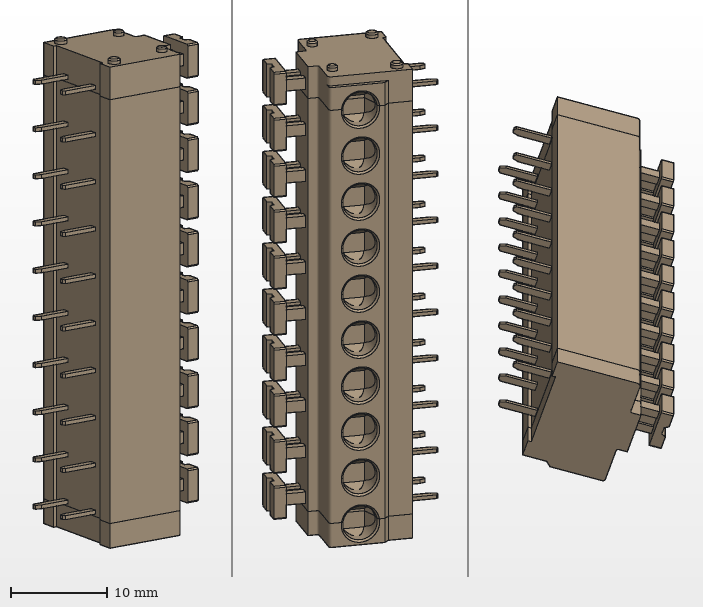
import cadquery as cq
import math


overall_height = 52.3
overall_depth = 17.5

terminal_count = 10
ledge_height = 50.8
pitch = ledge_height / terminal_count

housing_height = 51.8
housing_left = 0.5
housing_right = 12.5
housing_middle = (housing_left + housing_right) / 2
foot_bottom = 3.65
foot_width = 1.85
recess_depth = 0.35
floor_y = foot_bottom + recess_depth
shoulder_y = 12.75
shoulder_radius = 0.4
collar_width = 4.7
collar_y = 13.9
collar_radius = 0.2

ledge_bottom = 6.3
ledge_slope = 0.5
ledge_radius = 0.3

lower_joint_z = 2.65
upper_joint_z = 48.25

entry_y = 9.4
entry_first_z = 2.35
entry_diameter = 3.7
entry_chamfer = 0.2
entry_depth = 2.8
funnel_end_width = 2.4
funnel_end_up = 0.6
funnel_end_down = 1.45
funnel_side_angle = 20
funnel_roof_angle = 35
funnel_floor_angle = 15

button_first_z = 3.85
head_width = 4.45
head_height = 3.65
head_thickness = 1.3
head_chamfer = 0.15
slot_depth = 0.45
slot_floor_width = 0.8
slot_mouth_width = 1.3
stem_width = 2.8
stem_height = 1.25
stem_web_width = 1.1
stem_web_height = 0.65
stem_length = overall_depth - head_thickness - collar_y

pin_first_z = 3.15
pin_spacing = 4.9
pin_width = 0.8
pin_thickness = 0.4
tip_outer_chamfer = 0.2
tip_inner_width = 0.2
tip_inner_length = 0.65

peg_height = overall_height - housing_height
peg_chamfer = 0.15
large_peg_diameter = 1.3
large_peg_spacing = 9.6
large_peg_y = 5.0
small_peg_diameter = 1.1
small_peg_spacing = 7.8
small_peg_y = 11.7


def column(x0, x1, y0, y1):
    """Rectangular column over the full housing height."""
    return (
        cq.Workplane("XY")
        .center((x0 + x1) / 2, (y0 + y1) / 2)
        .rect(x1 - x0, y1 - y0)
        .extrude(housing_height)
    )


def entry_ledge():
    """Ledge with a sloped lower edge; its root fills the rounded housing corner."""
    root_x = housing_left + shoulder_radius
    return (
        cq.Workplane("XY")
        .moveTo(root_x, shoulder_y)
        .lineTo(0, shoulder_y)
        .lineTo(0, ledge_bottom + ledge_slope)
        .lineTo(housing_left, ledge_bottom)
        .lineTo(root_x, ledge_bottom)
        .close()
        .extrude(ledge_height)
        .edges("|Z and <X and >Y")
        .fillet(ledge_radius)
    )


def housing_shell():
    """Main block with two feet, a collar for the buttons and the entry ledge."""
    block = column(housing_left, housing_right, foot_bottom, shoulder_y)
    block = block.edges("|Z and >Y").fillet(shoulder_radius)
    recess = column(housing_left + foot_width, housing_right - foot_width, foot_bottom, floor_y)
    collar_left = housing_middle - collar_width / 2
    collar_right = housing_middle + collar_width / 2
    collar = column(collar_left, collar_right, floor_y, collar_y)
    shell = block.cut(recess).union(collar)
    for x in (collar_left, collar_right):
        inner_corner = cq.selectors.NearestToPointSelector((x, shoulder_y, housing_height / 2))
        shell = shell.edges("|Z").edges(inner_corner).fillet(collar_radius)
    return shell.union(entry_ledge())


def funnel_spread(angle):
    """Widening of a funnel wall between the inner end and the mouth."""
    return entry_depth * math.tan(math.radians(angle))


def wire_entry(z):
    """Volume removed for one wire entry."""
    mouth = cq.Plane(origin=(0, entry_y, z), xDir=(0, 1, 0), normal=(1, 0, 0))
    bore_radius = entry_diameter / 2
    bore = cq.Workplane(mouth).circle(bore_radius).extrude(entry_depth)
    countersink = (
        cq.Workplane(mouth)
        .circle(bore_radius + entry_chamfer)
        .workplane(offset=entry_chamfer)
        .circle(bore_radius)
        .loft()
    )
    mouth_width = funnel_end_width + 2 * funnel_spread(funnel_side_angle)
    mouth_up = funnel_end_up + funnel_spread(funnel_roof_angle)
    mouth_down = funnel_end_down + funnel_spread(funnel_floor_angle)
    mouth_center = (mouth_up - mouth_down) / 2
    end_center = (funnel_end_up - funnel_end_down) / 2
    funnel = (
        cq.Workplane(mouth)
        .center(0, mouth_center)
        .rect(mouth_width, mouth_up + mouth_down)
        .workplane(offset=entry_depth)
        .center(0, end_center - mouth_center)
        .rect(funnel_end_width, funnel_end_up + funnel_end_down)
        .loft(ruled=True)
    )
    return bore.intersect(funnel).union(countersink)


def button_head(z):
    """Rectangular button head with a screwdriver slot along Z."""
    head = (
        cq.Workplane("XZ", origin=(housing_middle, overall_depth, z))
        .rect(head_width, head_height)
        .extrude(head_thickness)
        .edges("|Y")
        .chamfer(head_chamfer)
    )
    slot = (
        cq.Workplane("XY", origin=(housing_middle, overall_depth, z))
        .moveTo(-slot_mouth_width / 2, 0)
        .lineTo(-slot_floor_width / 2, -slot_depth)
        .lineTo(slot_floor_width / 2, -slot_depth)
        .lineTo(slot_mouth_width / 2, 0)
        .close()
        .extrude(head_height, both=True)
    )
    return head.cut(slot)


def button_stem(z):
    """H-shaped stem: two tall flanges joined by a lower web."""
    flange_width = (stem_width - stem_web_width) / 2
    flange_offset = (stem_width - flange_width) / 2
    base = cq.Workplane("XZ", origin=(housing_middle, collar_y + stem_length, z))
    web = base.rect(stem_width, stem_web_height).extrude(stem_length)
    flanges = (
        base.pushPoints([(-flange_offset, 0), (flange_offset, 0)])
        .rect(flange_width, stem_height)
        .extrude(stem_length)
    )
    return web.union(flanges)


def pin_pair(z):
    """Two flat pins, mirrored, each with a long taper on its inner side."""
    inner_x = (pin_spacing - pin_width) / 2
    outer_x = (pin_spacing + pin_width) / 2
    right_pin = (
        cq.Workplane("XY", origin=(housing_middle, 0, z - pin_thickness / 2))
        .moveTo(inner_x, floor_y)
        .lineTo(inner_x, tip_inner_length)
        .lineTo(inner_x + tip_inner_width, 0)
        .lineTo(outer_x - tip_outer_chamfer, 0)
        .lineTo(outer_x, tip_outer_chamfer)
        .lineTo(outer_x, floor_y)
        .close()
        .extrude(pin_thickness)
    )
    left_pin = right_pin.mirror("YZ", (housing_middle, 0, 0))
    return right_pin.union(left_pin)


def peg_pair(diameter, spacing, y):
    """Two chamfered pegs standing on the top face."""
    return (
        cq.Workplane("XY", origin=(housing_middle, y, housing_height))
        .pushPoints([(-spacing / 2, 0), (spacing / 2, 0)])
        .circle(diameter / 2)
        .extrude(peg_height)
        .faces(">Z")
        .chamfer(peg_chamfer)
    )


def add_terminals(body, indices):
    """Join the button and the pins of each given terminal to its body."""
    for index in indices:
        rise = index * pitch
        body = body.union(button_head(button_first_z + rise))
        body = body.union(button_stem(button_first_z + rise))
        body = body.union(pin_pair(pin_first_z + rise))
    return body


housing = housing_shell()
for index in range(terminal_count):
    housing = housing.cut(wire_entry(entry_first_z + index * pitch))


def housing_slice(bottom, top):
    """Part of the housing between two heights."""
    slab = (
        cq.Workplane("XY", origin=(0, 0, bottom))
        .rect(2 * housing_right, 2 * overall_depth)
        .extrude(top - bottom)
    )
    return housing.intersect(slab)


bottom_plate = housing_slice(0, lower_joint_z)

top_index = terminal_count - 1
main_body = add_terminals(housing_slice(lower_joint_z, upper_joint_z), range(top_index))

top_module = add_terminals(housing_slice(upper_joint_z, housing_height), [top_index])
top_module = top_module.union(peg_pair(large_peg_diameter, large_peg_spacing, large_peg_y))
top_module = top_module.union(peg_pair(small_peg_diameter, small_peg_spacing, small_peg_y))

bodies = (bottom_plate, main_body, top_module)
result = cq.Compound.makeCompound([body.solids().val() for body in bodies])